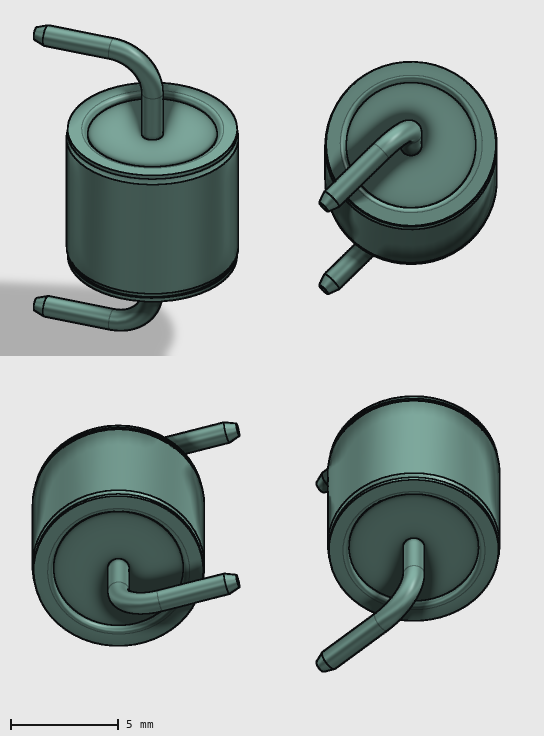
import cadquery as cq

BODY_DIAMETER = 7.98
BODY_HEIGHT = 7.0
CAP_RADIUS = 3.94
CAP_THICKNESS = 0.2
NECK_RADIUS = 3.84
SHOULDER_HEIGHT = 0.27

RECESS_RADIUS = 3.0
RECESS_DEPTH = 0.29

LEAD_RADIUS = 0.5
BEND_RADIUS = 2.0
LEAD_REACH = 5.76
LEAD_SPAN = 16.0
TIP_LENGTH = 0.53
TIP_RADIUS = 0.3

BODY_RADIUS = BODY_DIAMETER / 2
HALF_HEIGHT = BODY_HEIGHT / 2
CAP_BOTTOM = HALF_HEIGHT - CAP_THICKNESS
SHOULDER_BOTTOM = CAP_BOTTOM - SHOULDER_HEIGHT
FLOOR_Z = HALF_HEIGHT - RECESS_DEPTH


def make_barrel():
    """Plain cylinder between the two tapered shoulders."""
    return cq.Workplane("XY").cylinder(2 * SHOULDER_BOTTOM, BODY_RADIUS)


def make_upper_end():
    """Revolve the tapered shoulder, neck, cap and recess of the upper end."""
    rim_radius = RECESS_RADIUS + RECESS_DEPTH
    profile = (
        cq.Workplane("XZ")
        .moveTo(0, SHOULDER_BOTTOM)
        .lineTo(BODY_RADIUS, SHOULDER_BOTTOM)
        .lineTo(NECK_RADIUS, CAP_BOTTOM)
        .lineTo(CAP_RADIUS, CAP_BOTTOM)
        .lineTo(CAP_RADIUS, HALF_HEIGHT)
        .lineTo(rim_radius, HALF_HEIGHT)
        .radiusArc((RECESS_RADIUS, FLOOR_Z), -RECESS_DEPTH)
        .lineTo(0, FLOOR_Z)
        .close()
    )
    return profile.revolve(360, (0, 0, 0), (0, 1, 0))


def make_upper_lead():
    """Sweep the wire up from the recess floor and bend it towards -X."""
    lead_z = LEAD_SPAN / 2 - LEAD_RADIUS
    tip_start_x = TIP_LENGTH - LEAD_REACH
    path = (
        cq.Workplane("XZ", origin=(0, 0, FLOOR_Z))
        .lineTo(0, lead_z - BEND_RADIUS - FLOOR_Z)
        .radiusArc((-BEND_RADIUS, lead_z - FLOOR_Z), -BEND_RADIUS)
        .lineTo(tip_start_x, lead_z - FLOOR_Z)
    )
    wire = cq.Workplane("XY", origin=(0, 0, FLOOR_Z)).circle(LEAD_RADIUS).sweep(path)
    tip = cq.Solid.makeCone(
        LEAD_RADIUS,
        TIP_RADIUS,
        TIP_LENGTH,
        pnt=cq.Vector(tip_start_x, 0, lead_z),
        dir=cq.Vector(-1, 0, 0),
    )
    return wire.union(cq.Workplane(tip))


upper_end = make_upper_end().union(make_upper_lead())
result = make_barrel().union(upper_end).union(upper_end.mirror("XY"))